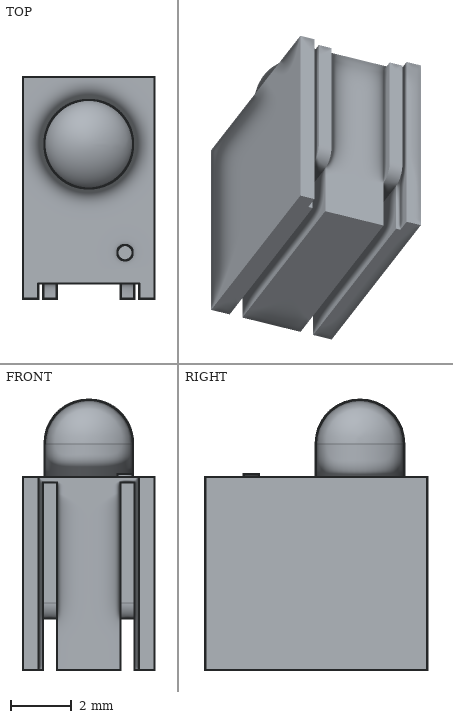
import cadquery as cq

total_height = 8.89
body_width = 4.32
body_depth = 7.3
body_height = 6.35

wall = 0.51
recess_width = body_width - 2 * wall

lead_width = 0.45
lead_offset = 1.27
lead_top = 6.16
slot_height = 1.7
lead_height = lead_top - slot_height
lead_bend_radius = wall

lens_radius = 1.46
lens_to_back = 2.21
lens_centre_y = body_depth - lens_to_back
lens_straight = total_height - body_height - lens_radius

dot_diameter = 0.51
dot_height = 0.1
dot_x = 1.19
dot_y = 1.52


def block(width, depth, height, x=0.0):
    """Block centred on x that starts at the front and the base."""
    return cq.Workplane("XY", origin=(x, 0, 0)).box(width, depth, height, centered=(True, False, False))


def lead(x):
    """Upright lead whose lower front edge is rounded where it bends into the body."""
    return (
        cq.Workplane("YZ", origin=(x - lead_width / 2, 0, slot_height))
        .moveTo(0, lead_bend_radius)
        .radiusArc((lead_bend_radius, 0), -lead_bend_radius)
        .lineTo(lead_bend_radius, lead_height)
        .lineTo(0, lead_height)
        .close()
        .extrude(lead_width)
    )


def lens():
    """Revolved lens profile, rising from the top of the body."""
    return (
        cq.Workplane("XZ", origin=(0, lens_centre_y, body_height))
        .lineTo(lens_radius, 0)
        .lineTo(lens_radius, lens_straight)
        .radiusArc((0, lens_straight + lens_radius), -lens_radius)
        .close()
        .revolve(360, (0, 0, 0), (0, 1, 0))
    )


def marker_dot():
    """Low round dot near the front right of the top face."""
    return cq.Workplane("XY", origin=(dot_x, dot_y, body_height)).circle(dot_diameter / 2).extrude(dot_height)


result = block(body_width, body_depth, body_height)
result = result.cut(block(recess_width, wall, body_height))

for side in (-1, 1):
    lead_x = side * lead_offset
    result = result.cut(block(lead_width, body_depth, slot_height, lead_x))
    result = result.union(lead(lead_x))

result = result.union(lens()).union(marker_dot())